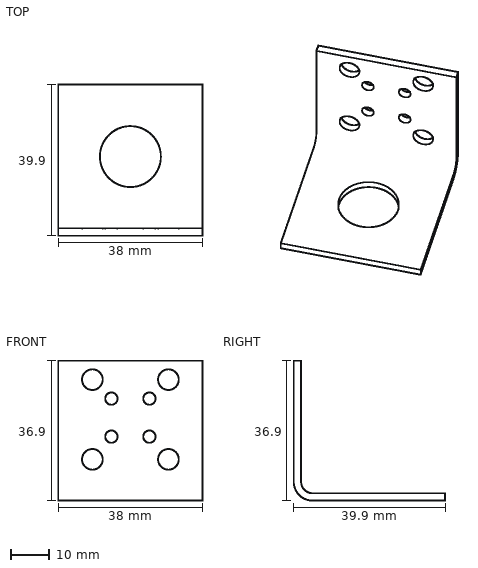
import cadquery as cq

width = 38.0
depth = 39.85
height = 36.87
thickness = 2.0
inner_bend_radius = 3.0
outer_bend_radius = inner_bend_radius + thickness

opening_diameter = 16.0
opening_from_back = width / 2

hole_pitch = 10.0
large_hole_diameter = 5.4
large_hole_spacing = 2 * hole_pitch
large_hole_drops = (5.02, 26.0)
small_hole_diameter = 3.2
small_hole_spacing = hole_pitch
small_hole_drops = (hole_pitch, 2 * hole_pitch)


def bent_sheet():
    """L-shaped sheet with its outer corner along the X axis."""
    outer = cq.Workplane("XY").box(width, depth, height, centered=(True, False, False))
    outer = outer.edges("|X and <Y and <Z").fillet(outer_bend_radius)
    inner = (
        cq.Workplane("XY")
        .box(width, depth, height, centered=(True, False, False))
        .edges("|X and <Y and <Z")
        .fillet(inner_bend_radius)
        .translate((0, thickness, thickness))
    )
    return outer.cut(inner)


def upright_holes(diameter, spacing, drops):
    """Cutters for a left and right hole at each distance below the top edge."""
    centers = [(side * spacing / 2, height - drop) for drop in drops for side in (-1, 1)]
    return cq.Workplane("XZ").pushPoints(centers).circle(diameter / 2).extrude(-thickness)


def base_opening():
    """Cutter for the round opening through the horizontal leg."""
    return (
        cq.Workplane("XY")
        .center(0, depth - opening_from_back)
        .circle(opening_diameter / 2)
        .extrude(thickness)
    )


result = (
    bent_sheet()
    .cut(upright_holes(large_hole_diameter, large_hole_spacing, large_hole_drops))
    .cut(upright_holes(small_hole_diameter, small_hole_spacing, small_hole_drops))
    .cut(base_opening())
)